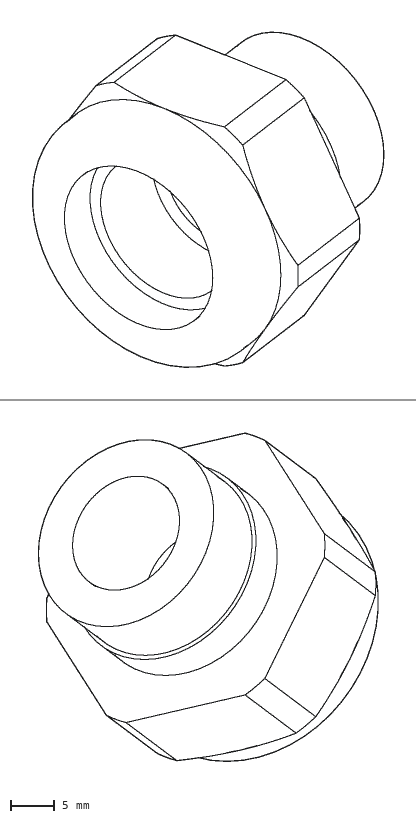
import cadquery as cq

flats_width = 33.0
corner_diameter = 36.5
corner_turn = 30
total_length = 32.0
spigot_length = 9.0
spigot_diameter = 23.0
shoulder_length = 5.0
shoulder_diameter = 24.0
collar_length = 5.0
collar_rounding = 3.0
corner_chamfer_length = 1.0
bore_diameter = 14.0
seal_diameter = 18.0
mouth_diameter = 21.0
mouth_depth = 5.0
seal_depth = 15.0

hex_back = total_length - spigot_length - shoulder_length
hex_front = collar_length
hex_length = hex_back - hex_front
shoulder_end = total_length - spigot_length


def cylinder(diameter, start, end):
    """Solid cylinder along Y between two stations."""
    return cq.Workplane("XZ", origin=(0, end, 0)).circle(diameter / 2).extrude(end - start)


def hex_nut():
    """Hexagon with turned corners and a conical front chamfer."""
    blank = (
        cq.Workplane("XZ", origin=(0, hex_back, 0))
        .polygon(6, flats_width, circumscribed=True)
        .extrude(hex_length)
    )
    chamfer_start = hex_front + corner_chamfer_length
    envelope = (
        cq.Workplane("XY")
        .moveTo(0, hex_front)
        .lineTo(flats_width / 2, hex_front)
        .lineTo(corner_diameter / 2, chamfer_start)
        .lineTo(corner_diameter / 2, hex_back)
        .lineTo(0, hex_back)
        .close()
        .revolve(360, (0, 0, 0), (0, 1, 0))
    )
    return blank.rotate((0, 0, 0), (0, 1, 0), corner_turn).intersect(envelope)


def collar():
    """Round front collar with a rounded rim."""
    return cylinder(flats_width, 0, hex_front).faces("<Y").edges().fillet(collar_rounding)


def stepped_bore():
    """Through bore, widened in two steps from the front."""
    return (
        cylinder(bore_diameter, 0, total_length)
        .union(cylinder(seal_diameter, 0, seal_depth))
        .union(cylinder(mouth_diameter, 0, mouth_depth))
    )


result = (
    hex_nut()
    .union(collar())
    .union(cylinder(shoulder_diameter, hex_back, shoulder_end))
    .union(cylinder(spigot_diameter, shoulder_end, total_length))
    .cut(stepped_bore())
)